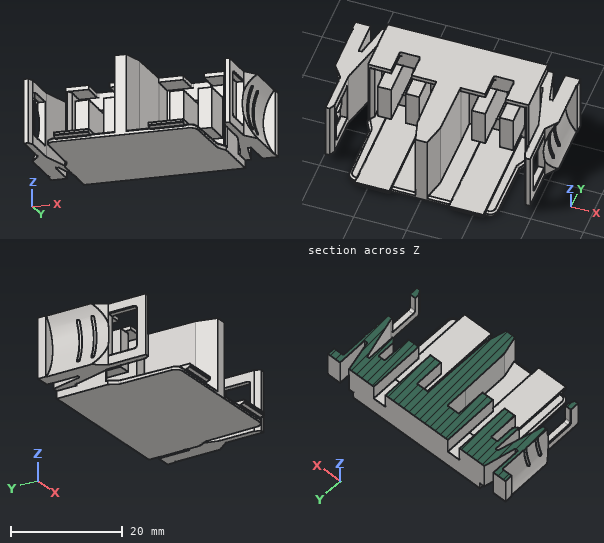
import cadquery as cq
import math

HEIGHT = 15.1
BODY_HALF_WIDTH = 15.2
BODY_DEPTH = 10.5
BACK_WALL = 5.75
ROOF_AT_MOUTH = 0.85
ROOF_AT_BACK = 0.95
FLOOR_AT_BACK = 1.1
FLOOR_SLOPE = 0.7
WALL = 0.95
MOUTH_LEAD_IN_WIDTH = 0.6
MOUTH_LEAD_IN_DEPTH = 0.8

PLATE_FRONT = 25.2
PLATE_TRIM = 0.02
PLATE_SHOULDER_START = 10.9
PLATE_SHOULDER_END = 12.8
PLATE_HALF_WIDTH_BACK = 14.2
PLATE_HALF_WIDTH_FRONT = 14.05
PLATE_CORNER_RADIUS = 1.5
PLATE_SHOULDER_RADIUS = 0.5
PLATE_BEVEL_WIDTH = 0.5
PLATE_BEVEL_HEIGHT = 0.3

PILLAR_HALF_WIDTH_BACK = 2.32
PILLAR_HALF_WIDTH_FRONT = 2.17
PILLAR_NOSE_START = 21.05
PILLAR_TIP_HALF_WIDTH = 1.1

BAY_OFFSET = 8.9
BLOCK_SPAN = 7.85
BLOCK_GAP = 2.75
BLOCK_BOTTOM = 4.15
BLOCK_HEIGHT = 7.6
BLOCK_FRONT = 12.1
SLOT_WIDTH = 3.85
SLOT_CORNER_RADIUS = 0.3
TONGUE_WIDTH = 6.55
TONGUE_FRONT = 26.5
TONGUE_TOP = 1.37
TONGUE_BOTTOM = 0.45
TONGUE_BEVEL_LENGTH = 0.8
TONGUE_BEVEL_HEIGHT = 0.35
TONGUE_TIP_CHAMFER = 0.1

CLIP_HEIGHT = 12.1
CLIP_BOTTOM = (HEIGHT - CLIP_HEIGHT) / 2
CLIP_MIDDLE = HEIGHT / 2
CLIP_OUTER_X = 21.35
GRIP_EDGE_X = 21.2
GRIP_FRONT = 11.3
SPRING_SLOT_X = 18.37
SPRING_SLOT_DEPTH = 6.55
SPRING_SLOT_END_X = 17.77
ARM_BACK_X = 16.25
ARM_ROOT_X = 15.65
ARM_ROOT_DEPTH = 4.3
LEG_OUTER_X = 19.37
LEG_INNER_X = 18.0
LEG_START = 13.7
LEG_INNER_START = 13.15
LEG_END = 21.7
LEG_TIP_X = 18.54
LEG_TIP_BEVEL_START = 20.6

SCOOP_START = 1.73
SCOOP_DEPTH = 2.1
RIB_WIDTH = 0.6
RIB_LENGTH = 8.2
RIB_RISE = 0.12
RIB_POSITIONS = (7.72, 10.8)

WINDOW_END = 19.7
WINDOW_HEIGHT = 8.2
WINDOW_BEVEL = 0.15
WINDOW_BEVEL_ANGLE = 45
WINDOW_CORNER_RADIUS = 0.5


def box(x_min, x_max, front, back, z_min, z_max):
    """Box between two depths measured from the back face."""
    size = (x_max - x_min, front - back, z_max - z_min)
    return cq.Workplane("XY").box(*size, centered=False).translate((x_min, -front, z_min))


def prism(points, z_min, z_max):
    """Upright prism over a closed XY outline."""
    return cq.Workplane("XY").workplane(offset=z_min).polyline(points).close().extrude(z_max - z_min)


def both_sides(shape):
    return shape.union(shape.mirror("YZ"))


def make_housing():
    outer = box(-BODY_HALF_WIDTH, BODY_HALF_WIDTH, BODY_DEPTH, 0, 0, HEIGHT)
    inner = BODY_HALF_WIDTH - WALL
    mouth = inner + MOUTH_LEAD_IN_WIDTH
    lead_in_y = -(BODY_DEPTH - MOUTH_LEAD_IN_DEPTH)
    half = [(inner, -BACK_WALL), (inner, lead_in_y), (mouth, -BODY_DEPTH)]
    mirrored = [(-x, y) for x, y in reversed(half)]
    cavity = prism(half + mirrored, 0, HEIGHT)
    floor_drop = (BODY_DEPTH - BACK_WALL) * math.tan(math.radians(FLOOR_SLOPE))
    side_profile = [
        (-BACK_WALL, FLOOR_AT_BACK),
        (-BODY_DEPTH, FLOOR_AT_BACK - floor_drop),
        (-BODY_DEPTH, HEIGHT - ROOF_AT_MOUTH),
        (-BACK_WALL, HEIGHT - ROOF_AT_BACK),
    ]
    opening = cq.Workplane("YZ").polyline(side_profile).close().extrude(BODY_HALF_WIDTH, both=True)
    return outer.cut(cavity.intersect(opening))


def make_plate():
    """Beveled base plate whose top continues the sloping floor."""
    half = [
        (BODY_HALF_WIDTH, -BACK_WALL / 2),
        (BODY_HALF_WIDTH, -PLATE_SHOULDER_START),
        (PLATE_HALF_WIDTH_BACK, -PLATE_SHOULDER_END),
        (PLATE_HALF_WIDTH_FRONT, -PLATE_FRONT - PLATE_TRIM),
    ]
    mirrored = [(-x, y) for x, y in reversed(half)]
    bevel_base = FLOOR_AT_BACK - PLATE_BEVEL_HEIGHT
    bevel_angle = math.degrees(math.atan2(PLATE_BEVEL_WIDTH, PLATE_BEVEL_HEIGHT))
    plate = prism(half + mirrored, -FLOOR_AT_BACK, bevel_base)
    plate = plate.edges("|Z and <Y").fillet(PLATE_CORNER_RADIUS)
    shoulder = cq.selectors.BoxSelector(
        (-BODY_HALF_WIDTH, -PLATE_SHOULDER_END - PLATE_TRIM, -HEIGHT),
        (BODY_HALF_WIDTH, -PLATE_SHOULDER_END + PLATE_TRIM, HEIGHT),
    )
    plate = plate.edges("|Z").edges(shoulder).fillet(PLATE_SHOULDER_RADIUS)
    plate = plate.faces(">Z").wires().toPending().extrude(PLATE_BEVEL_HEIGHT, taper=bevel_angle)
    pivot = (0, -BACK_WALL, FLOOR_AT_BACK)
    plate = plate.rotate(pivot, (1, -BACK_WALL, FLOOR_AT_BACK), FLOOR_SLOPE)
    keep = box(-BODY_HALF_WIDTH, BODY_HALF_WIDTH, PLATE_FRONT, 0, 0, HEIGHT)
    return plate.intersect(keep)


def make_pillar():
    half = [
        (PILLAR_HALF_WIDTH_BACK, -BACK_WALL),
        (PILLAR_HALF_WIDTH_BACK, -BODY_DEPTH),
        (PILLAR_HALF_WIDTH_FRONT, -PILLAR_NOSE_START),
        (PILLAR_TIP_HALF_WIDTH, -PLATE_FRONT),
    ]
    mirrored = [(-x, y) for x, y in reversed(half)]
    return prism(half + mirrored, 0, HEIGHT)


def make_bay_solids():
    """Two locating blocks and the floor tongue of the +X bay."""
    block_top = BLOCK_BOTTOM + BLOCK_HEIGHT
    left = BAY_OFFSET - BLOCK_SPAN / 2
    right = BAY_OFFSET + BLOCK_SPAN / 2
    blocks = box(left, right, BLOCK_FRONT, BACK_WALL, BLOCK_BOTTOM, block_top)
    tongue_side = [
        (-BACK_WALL, TONGUE_BOTTOM),
        (-BACK_WALL, TONGUE_TOP),
        (-TONGUE_FRONT, TONGUE_TOP),
        (-TONGUE_FRONT, TONGUE_BOTTOM + TONGUE_BEVEL_HEIGHT),
        (-TONGUE_FRONT + TONGUE_BEVEL_LENGTH, TONGUE_BOTTOM),
    ]
    tongue = cq.Workplane("YZ").workplane(offset=BAY_OFFSET - TONGUE_WIDTH / 2)
    tongue = tongue.polyline(tongue_side).close().extrude(TONGUE_WIDTH)
    tongue = tongue.faces("<Y").edges("|X").chamfer(TONGUE_TIP_CHAMFER)
    return blocks.union(tongue)


def make_bay_openings():
    """Passage between the blocks and the roof slot of the +X bay."""
    left = BAY_OFFSET - BLOCK_GAP / 2
    right = BAY_OFFSET + BLOCK_GAP / 2
    passage = box(left, right, BLOCK_FRONT, 0, BLOCK_BOTTOM, BLOCK_BOTTOM + BLOCK_HEIGHT)
    slot_left = BAY_OFFSET - SLOT_WIDTH / 2
    slot_right = BAY_OFFSET + SLOT_WIDTH / 2
    slot = box(slot_left, slot_right, BODY_DEPTH, BACK_WALL, HEIGHT - ROOF_AT_BACK, HEIGHT)
    slot = slot.edges("|Z and >Y").fillet(SLOT_CORNER_RADIUS)
    return passage.union(slot)


def scoop_cutter(radius, axis_x, front, back):
    """Cylinder along Y that hollows the outer face of the +X clip."""
    cylinder = cq.Workplane("XZ", origin=(axis_x, -back, CLIP_MIDDLE)).circle(radius)
    return cylinder.extrude(front - back)


def window_cutter():
    """Opening in the leg of the +X clip, rounded at the front and beveled at the outer face."""
    window = box(
        LEG_INNER_X,
        LEG_OUTER_X - WINDOW_BEVEL,
        WINDOW_END,
        LEG_START,
        CLIP_MIDDLE - WINDOW_HEIGHT / 2,
        CLIP_MIDDLE + WINDOW_HEIGHT / 2,
    )
    window = window.edges("|X and <Y").fillet(WINDOW_CORNER_RADIUS)
    window = window.faces(">X").wires().toPending().workplane()
    window = window.extrude(WINDOW_BEVEL, taper=-WINDOW_BEVEL_ANGLE)
    return window.intersect(box(0, CLIP_OUTER_X, LEG_END, LEG_START, 0, HEIGHT))


def make_clip():
    """Spring clip on the +X side with a scooped, ribbed grip and a window in its leg."""
    outline = [
        (BODY_HALF_WIDTH, 0),
        (ARM_BACK_X, 0),
        (SPRING_SLOT_END_X, -SPRING_SLOT_DEPTH),
        (SPRING_SLOT_X, -SPRING_SLOT_DEPTH),
        (SPRING_SLOT_X, 0),
        (CLIP_OUTER_X, 0),
        (GRIP_EDGE_X, -GRIP_FRONT),
        (LEG_OUTER_X, -LEG_START),
        (LEG_OUTER_X, -LEG_END),
        (LEG_TIP_X, -LEG_END),
        (LEG_INNER_X, -LEG_TIP_BEVEL_START),
        (LEG_INNER_X, -LEG_INNER_START),
        (ARM_ROOT_X, -ARM_ROOT_DEPTH),
        (BODY_HALF_WIDTH, -ARM_ROOT_DEPTH),
    ]
    clip = prism(outline, CLIP_BOTTOM, CLIP_BOTTOM + CLIP_HEIGHT)

    half_chord = CLIP_HEIGHT / 2
    radius = (half_chord**2 + SCOOP_DEPTH**2) / (2 * SCOOP_DEPTH)
    axis_x = GRIP_EDGE_X - SCOOP_DEPTH + radius
    scoop = scoop_cutter(radius, axis_x, LEG_START, SCOOP_START)
    core = scoop_cutter(radius - RIB_RISE, axis_x, LEG_START, SCOOP_START)
    for depth in RIB_POSITIONS:
        rib = cq.Workplane("YZ", origin=(LEG_INNER_X, -depth, CLIP_MIDDLE))
        rib = rib.slot2D(RIB_LENGTH, RIB_WIDTH, 90).extrude(CLIP_OUTER_X - LEG_INNER_X)
        scoop = scoop.cut(rib.cut(core))
    clip = clip.cut(scoop)
    return clip.cut(window_cutter())


result = make_housing().union(make_plate()).union(make_pillar())
result = result.union(both_sides(make_bay_solids()))
result = result.cut(both_sides(make_bay_openings()))
result = result.union(both_sides(make_clip()))